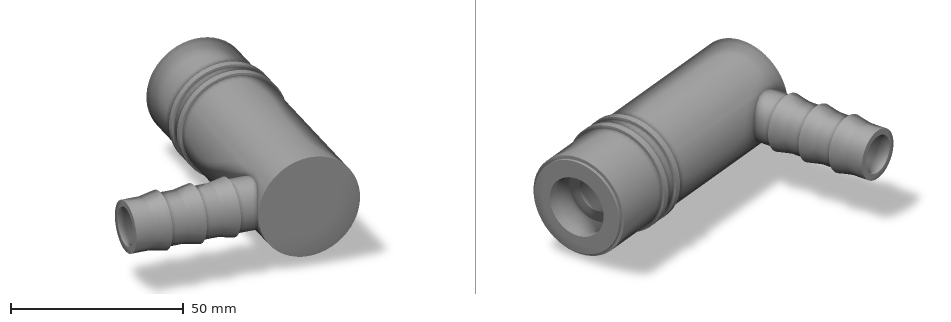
import cadquery as cq

barrel_length = 84.0
barrel_radius = 32.0 / 2
lip_radius = 30.0 / 2
lip_length = 1.0

spout_axis_x = 75.0
spout_reach = 54.0
spout_radius = 16.0 / 2
barb_radius = barrel_length - spout_axis_x
barb_length = 5.2
barb_pitch = 10.75
barb_count = 3
first_barb_reach = 21.5

bore_radius = 12.0 / 2
socket_radius = 19.0 / 2
socket_depth = 10.1

ring_radius = 34.0 / 2
ring_width = 2.0
ring_starts_x = [20.1, 25.95]


def cylinder_along_x(start_x, length, radius):
    """Cylinder on the barrel axis."""
    return cq.Workplane("YZ").workplane(offset=start_x).circle(radius).extrude(length)


def make_barrel():
    """Plain round barrel with a smaller lip at its open end."""
    lip = cylinder_along_x(0, lip_length, lip_radius)
    main = cylinder_along_x(lip_length, barrel_length - lip_length, barrel_radius)
    return lip.union(main)


def make_spout():
    """Round spout with hose barbs that taper toward the tip, revolved about its own axis."""
    profile = cq.Workplane("XY", origin=(spout_axis_x, 0, 0)).moveTo(0, 0).lineTo(spout_radius, 0)
    for index in range(barb_count):
        wide_edge_y = -(first_barb_reach + index * barb_pitch)
        profile = profile.lineTo(spout_radius, wide_edge_y)
        profile = profile.lineTo(barb_radius, wide_edge_y)
        profile = profile.lineTo(spout_radius, wide_edge_y - barb_length)
    profile = profile.lineTo(spout_radius, -spout_reach).lineTo(0, -spout_reach).close()
    return profile.revolve(360, (0, 0, 0), (0, 1, 0))


def make_passage():
    """Wide socket at the open end, then a bore that turns a mitred corner into the spout."""
    path = cq.Workplane("XY").polyline([(0, 0), (spout_axis_x, 0), (spout_axis_x, -spout_reach)])
    bore = cq.Workplane("YZ").circle(bore_radius).sweep(path, transition="right")
    return bore.union(cylinder_along_x(0, socket_depth, socket_radius))


def make_elbow():
    """One-piece housing: barrel and spout joined, with the flow passage removed."""
    return make_barrel().union(make_spout()).cut(make_passage())


def make_ring(start_x):
    """Flat band that fits closely around the barrel."""
    band = cylinder_along_x(start_x, ring_width, ring_radius)
    return band.cut(cylinder_along_x(start_x, ring_width, barrel_radius))


elbow = make_elbow()
rings = [make_ring(start_x) for start_x in ring_starts_x]

result = cq.Compound.makeCompound([elbow.solids().val(), *[ring.solids().val() for ring in rings]])